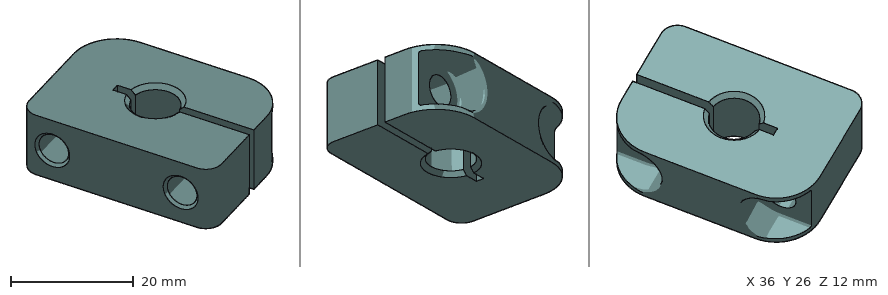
import cadquery as cq

length = 36.0
depth = 26.0
height = 12.0
front_corner_radius = 3.0
back_corner_radius = 8.0

bore_diameter = 8.4
bore_rim_diameter = 10.0
slit_width = 1.5
slit_reach = 7.5

screw_offset = 12.0
screw_diameter = 5.5
screw_rim_diameter = 6.5

recess_width = 10.0
recess_depth = 5.5
recess_edge_radius = 0.5


def make_block():
    block = cq.Workplane("XY").box(length, depth, height)
    block = block.edges("|Z and <Y").fillet(front_corner_radius)
    return block.edges("|Z and >Y").fillet(back_corner_radius)


def make_bore():
    """Through bore along Z with a 45 degree countersink at both ends."""
    bore_radius = bore_diameter / 2
    rim_radius = bore_rim_diameter / 2
    top = height / 2
    chamfer = rim_radius - bore_radius
    profile = [
        (0, -top),
        (rim_radius, -top),
        (bore_radius, -top + chamfer),
        (bore_radius, top - chamfer),
        (rim_radius, top),
        (0, top),
    ]
    return cq.Workplane("XZ").polyline(profile).close().revolve(360, (0, 0), (0, 1))


def make_slit():
    """Slit from beyond the bore to the open +X side."""
    slit_length = slit_reach + length / 2
    slit = cq.Workplane("XY").box(slit_length, slit_width, height, centered=(False, True, True))
    return slit.translate((-slit_reach, 0, 0))


def make_screw_hole(x):
    """Screw hole along Y with a 45 degree countersink at the front."""
    front = -depth / 2
    back = depth / 2
    hole_radius = screw_diameter / 2
    rim_radius = screw_rim_diameter / 2
    chamfer = rim_radius - hole_radius
    profile = [
        (0, front),
        (rim_radius, front),
        (hole_radius, front + chamfer),
        (hole_radius, back),
        (0, back),
    ]
    hole = cq.Workplane("XY").polyline(profile).close().revolve(360, (0, 0), (0, 1))
    return hole.translate((x, 0, 0))


def make_recess(side):
    """Slot with a round inner end at the screw axis, running outward past the block; side is -1 or 1."""
    run_out = length / 2
    slot_center = side * (screw_offset + run_out / 2)
    recess = (
        cq.Workplane("XZ", origin=(slot_center, depth / 2, 0))
        .slot2D(run_out + recess_width, recess_width)
        .extrude(recess_depth)
    )
    return recess.faces("<Y").edges().fillet(recess_edge_radius)


def make_recessed_blank():
    """Oversized blank holding both recesses, so that their whole mouth edges can be rounded."""
    blank = cq.Workplane("XY").box(3 * length, depth, height)
    for side in (-1, 1):
        blank = blank.cut(make_recess(side))
    mouth_edges = blank.faces(">Y").edges("not(<X or >X or <Z or >Z)")
    return mouth_edges.fillet(recess_edge_radius)


result = make_block().intersect(make_recessed_blank())
result = result.cut(make_bore()).cut(make_slit())
for screw_x in (-screw_offset, screw_offset):
    result = result.cut(make_screw_hole(screw_x))